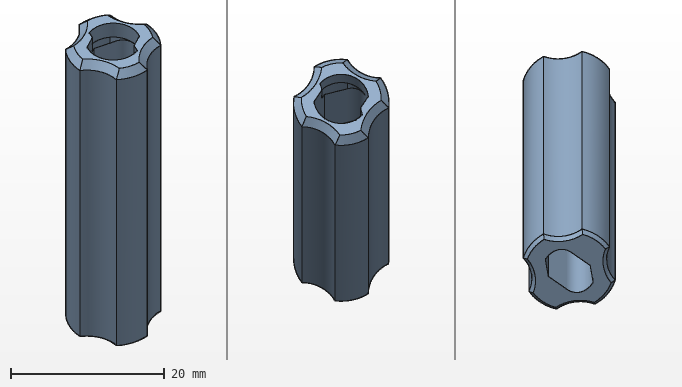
import cadquery as cq
import math

length = 48.75
body_radius = 6.25
lobe_half_width = 2.25
flute_radius = 4.88
top_chamfer = 1.0
bottom_chamfer = 0.5

bore_radius = 7.1 / 2
flat_distance = 2.35
slot_corner_radius = 1.95
slot_tilt = 2.0

pocket_depth = 2.5
stop_face_distance = 2.85
stop_edge_y = 2.15


def quarter_turned(x, y, quarters):
    """Point turned about the axis by a number of quarter turns."""
    for _ in range(quarters):
        x, y = -y, x
    return (x, y)


def grip_body():
    """Bar with four concave flutes between four rounded ridges."""
    ridge_edge = math.sqrt(body_radius**2 - lobe_half_width**2)
    half_chord = (ridge_edge - lobe_half_width) / math.sqrt(2)
    chord_distance = (ridge_edge + lobe_half_width) / math.sqrt(2)
    flute_depth = flute_radius - math.sqrt(flute_radius**2 - half_chord**2)
    flute_mid = (chord_distance - flute_depth) / math.sqrt(2)
    outline = cq.Workplane("XY").moveTo(ridge_edge, -lobe_half_width)
    for quarter in range(4):
        ridge_middle = quarter_turned(body_radius, 0, quarter)
        ridge_end = quarter_turned(ridge_edge, lobe_half_width, quarter)
        flute_middle = quarter_turned(flute_mid, flute_mid, quarter)
        flute_end = quarter_turned(lobe_half_width, ridge_edge, quarter)
        outline = outline.threePointArc(ridge_middle, ridge_end)
        outline = outline.threePointArc(flute_middle, flute_end)
    body = outline.close().extrude(length)
    body = body.faces(">Z").chamfer(top_chamfer)
    return body.faces("<Z").chamfer(bottom_chamfer)


def stops():
    """Two opposite blocks, each bounded by a 45 degree face and a face along X."""
    corner_x = stop_face_distance * math.sqrt(2) - stop_edge_y
    top_x = stop_face_distance * math.sqrt(2) - body_radius
    stop = (
        cq.Workplane("XY")
        .polyline([
            (corner_x, stop_edge_y),
            (body_radius, stop_edge_y),
            (body_radius, body_radius),
            (top_x, body_radius),
        ])
        .close()
        .extrude(length)
    )
    return stop.union(stop.rotate((0, 0, 0), (0, 0, 1), 180))


def slot():
    """Bore narrowed by two flats, with rounded corners and the stop faces cut across two of them."""
    bore = cq.Workplane("XY").circle(bore_radius).extrude(length)
    flats = cq.Workplane("XY").rect(2 * flat_distance, 2 * body_radius).extrude(length)
    rounded = bore.intersect(flats).edges("|Z").fillet(slot_corner_radius)
    rounded = rounded.rotate((0, 0, 0), (0, 0, 1), slot_tilt)
    stop_band = (
        cq.Workplane("XY")
        .rect(2 * stop_face_distance, 4 * body_radius)
        .extrude(length)
        .rotate((0, 0, 0), (0, 0, 1), 45)
    )
    return rounded.intersect(stop_band)


def pocket():
    """Round pocket in the top face that leaves the two stops standing."""
    floor = cq.Workplane("XY").workplane(offset=length - pocket_depth)
    return floor.circle(bore_radius).extrude(pocket_depth).cut(stops())


result = grip_body().cut(slot()).cut(pocket())